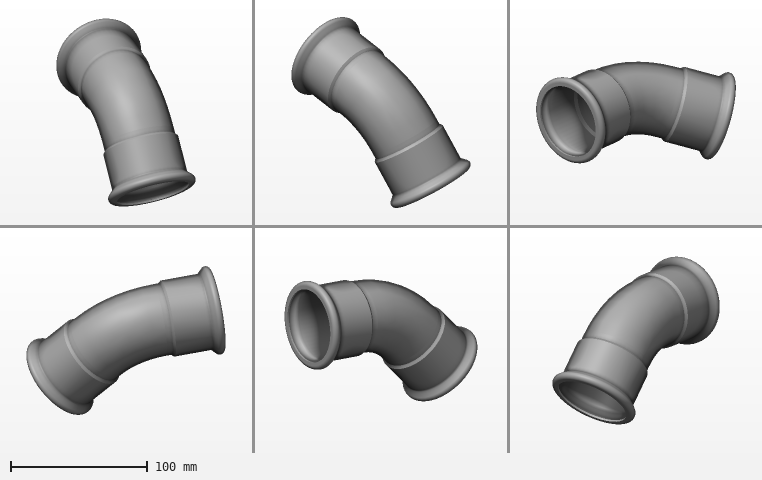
import cadquery as cq
import math


bend_angle = 45.0
bend_radius = 65.0
pipe_outer_radius = 26.6
pipe_inner_radius = 25.0

socket_outer_radius = 28.3
wall = 1.4
shoulder_start = 36.8
shoulder_end = shoulder_start + 2.0
end_length = 43.2

bead_radius = 32.92
bead_round = 3.1
mouth_radius = 27.2
neck_round = 1.8

socket_inner_radius = socket_outer_radius - wall
bead_center_radius = bead_radius - bead_round
neck_center_radius = socket_outer_radius + neck_round

flank_angle = math.radians(45)
flank_sine = math.sin(flank_angle)
round_sum = bead_round + neck_round
neck_center_x = (
    bead_round
    + bead_center_radius
    - neck_center_radius
    + round_sum / flank_sine
)


def bead_point(round_radius, angle):
    """Point on a round about the bead centre; the angle turns from outward to +X."""
    return (
        bead_round + round_radius * math.sin(angle),
        bead_center_radius + round_radius * math.cos(angle),
    )


def neck_point(round_radius, angle):
    """Point on a round about the neck centre; the angle turns from inward to -X."""
    return (
        neck_center_x - round_radius * math.sin(angle),
        neck_center_radius - round_radius * math.cos(angle),
    )


def socket():
    """Hollow socket about the X axis, mouth at x = 0."""
    groove_round = bead_round - wall
    inner_neck_round = neck_round + wall
    profile = (
        cq.Workplane("XY")
        .moveTo(0, mouth_radius)
        .lineTo(0, bead_center_radius)
        .threePointArc(bead_point(bead_round, 0), bead_point(bead_round, flank_angle))
        .lineTo(*neck_point(neck_round, flank_angle))
        .threePointArc(neck_point(neck_round, flank_angle / 2), neck_point(neck_round, 0))
        .lineTo(shoulder_start, socket_outer_radius)
        .lineTo(shoulder_end, pipe_outer_radius)
        .lineTo(end_length, pipe_outer_radius)
        .lineTo(end_length, pipe_inner_radius)
        .lineTo(shoulder_end, pipe_inner_radius)
        .lineTo(shoulder_start, socket_inner_radius)
        .lineTo(*neck_point(inner_neck_round, 0))
        .threePointArc(
            neck_point(inner_neck_round, flank_angle / 2),
            neck_point(inner_neck_round, flank_angle),
        )
        .lineTo(*bead_point(groove_round, flank_angle))
        .threePointArc(bead_point(groove_round, 0), (wall, bead_center_radius))
        .lineTo(wall, mouth_radius)
        .close()
    )
    return profile.revolve(360, (0, 0, 0), (1, 0, 0))


def bend():
    """Hollow bend starting at the inner end of the inlet socket."""
    ring = (
        cq.Workplane("YZ", origin=(end_length, 0, 0))
        .circle(pipe_outer_radius)
        .circle(pipe_inner_radius)
    )
    return ring.revolve(bend_angle, (0, -bend_radius, 0), (1, -bend_radius, 0))


inlet = socket()

outlet = (
    inlet.mirror("YZ", (end_length, 0, 0))
    .rotate((end_length, 0, -bend_radius), (end_length, 1, -bend_radius), bend_angle)
)

result = inlet.union(bend()).union(outlet)